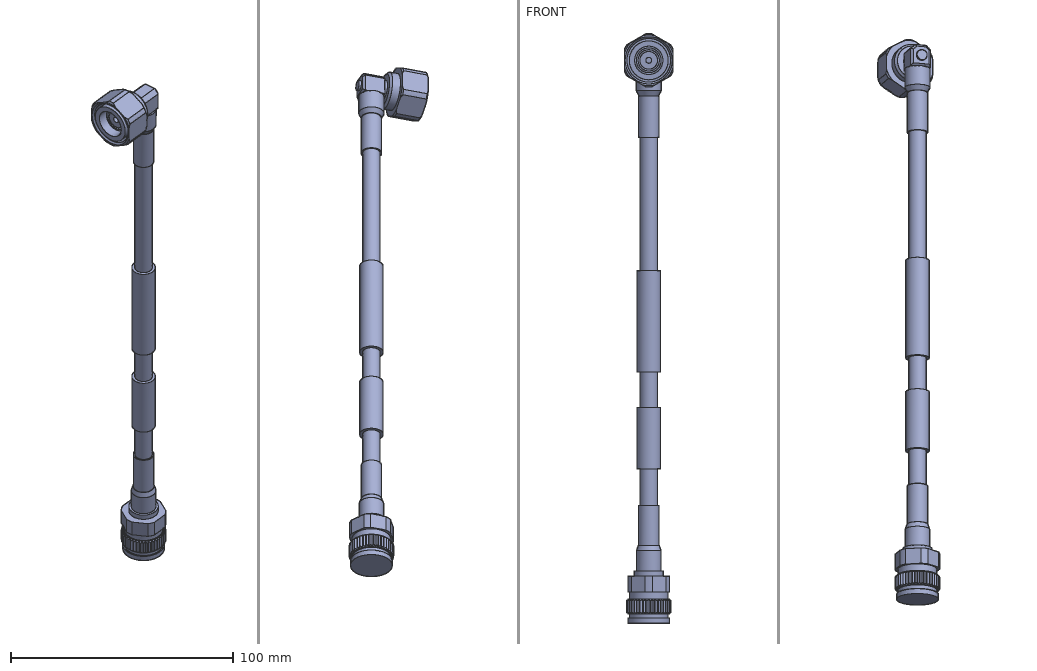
import cadquery as cq
import math

overall_height = 265.3

cable_diameter = 8.0
boot_diameter = 9.3
lower_boot_bottom = 35.0
lower_boot_top = 53.0
upper_boot_bottom = 218.5
upper_boot_top = 237.2

sleeve_diameter = 10.5
sleeve_spans = [(69.5, 97.0), (113.0, 158.7)]

nut_flats = 22.0
nut_corner_diameter = 24.1
nut_front_y = -23.3
nut_length = 12.5
nut_bore_diameter = 19.6
nut_mouth_chamfer = 0.8
nut_rim_chamfer = 0.66
collar_diameter = 17.0
collar_length = 4.8
collar_chamfer = 1.0

elbow_axis_z = overall_height - nut_corner_diameter / 2
ferrule_diameter = 11.5
ferrule_height = 11.1
ferrule_chamfer = 1.3
ferrule_chamfer_height = 2.5
block_width = 9.5
block_back_y = 5.5
block_front_y = -4.8
block_height = 10.0
block_top_chamfer = 2.0
block_back_chamfer = 1.0
cap_diameter = 4.8
cap_height = 1.0
neck_diameter = 9.0
socket_floor_y = -15.0
retainer_thickness = 2.7
contact_recess = 4.0
socket_outer_diameter = 17.5
socket_inner_diameter = 12.7
spring_outer_diameter = 11.1
spring_inner_diameter = 9.5
post_diameter = 8.0
pin_hole_diameter = 2.7

hex_flats = 18.8
hex_corner_diameter = 20.2
hex_bottom = 14.0
hex_top = 21.2
groove_diameter = 17.5
rim_diameter = 18.8
rim_top = 2.5
knurl_diameter = 20.2
knurl_bottom = 4.2
knurl_top = 11.0
knurl_chamfer = 0.8
knurl_teeth = 40
knurl_groove_depth = 0.66
shoulder_diameter = 13.3
shoulder_top = 23.5
barrel_diameter = 11.1
barrel_chamfer = 0.8
barrel_chamfer_height = 2.5


def rod(diameter, bottom, top):
    """Round bar along Z between two heights."""
    return cq.Workplane("XY").workplane(offset=bottom).circle(diameter / 2).extrude(top - bottom)


def cross_rod(diameter, front, back):
    """Round bar along Y on the elbow axis, between two Y positions."""
    plane = cq.Workplane("XZ", origin=(0, back, elbow_axis_z))
    return plane.circle(diameter / 2).extrude(back - front)


def cross_tube(outer_diameter, inner_diameter, front, back):
    """Tube along Y on the elbow axis, between two Y positions."""
    return cross_rod(outer_diameter, front, back).cut(cross_rod(inner_diameter, front, back))


def turned_hex(plane, flats, corner_diameter, length):
    """Hexagonal prism with flats at +X and -X and its six corners turned round."""
    sharp_diameter = flats / math.cos(math.pi / 6)
    hexagon = plane.transformed(rotate=(0, 0, 30)).polygon(6, sharp_diameter).extrude(length)
    return hexagon.intersect(plane.circle(corner_diameter / 2).extrude(length))


def make_cable():
    cable = rod(cable_diameter, lower_boot_bottom, upper_boot_top)
    lower_boot = rod(boot_diameter, lower_boot_bottom, lower_boot_top)
    upper_boot = rod(boot_diameter, upper_boot_bottom, upper_boot_top)
    return cable.union(lower_boot).union(upper_boot)


def make_sleeve(bottom, top):
    return rod(sleeve_diameter, bottom, top).cut(rod(cable_diameter, bottom, top))


def make_elbow_block():
    """Ferrule on the cable end, carrying the square corner block with its rear cap."""
    block_bottom = upper_boot_top + ferrule_height
    block_depth = block_back_y - block_front_y
    ferrule = rod(ferrule_diameter, upper_boot_top, block_bottom)
    ferrule = ferrule.faces("<Z").chamfer(ferrule_chamfer_height, ferrule_chamfer)
    block = (
        cq.Workplane("XY", origin=(0, block_back_y - block_depth / 2, block_bottom))
        .rect(block_width, block_depth)
        .extrude(block_height)
    )
    block = block.edges("|Y and >Z").chamfer(block_top_chamfer)
    block = block.faces(">Y").chamfer(block_back_chamfer)
    cap = cross_rod(cap_diameter, block_back_y, block_back_y + cap_height)
    return ferrule.union(block).union(cap)


def make_elbow_socket():
    """Outer tube flush with the nut, around a recessed spring ring and bored centre post."""
    contact_front = nut_front_y + contact_recess
    outer_tube = cross_tube(
        socket_outer_diameter, socket_inner_diameter, nut_front_y, socket_floor_y
    )
    spring_ring = cross_tube(
        spring_outer_diameter, spring_inner_diameter, contact_front, socket_floor_y
    )
    post = cross_tube(post_diameter, pin_hole_diameter, contact_front, socket_floor_y)
    return outer_tube.union(spring_ring).union(post)


def make_elbow_body():
    neck = cross_rod(neck_diameter, socket_floor_y, block_front_y)
    retainer = cross_rod(nut_bore_diameter, socket_floor_y, socket_floor_y + retainer_thickness)
    return make_elbow_block().union(neck).union(retainer).union(make_elbow_socket())


def make_elbow_nut():
    """Hexagonal coupling nut with a round rear collar, held by the retainer disc."""
    hex_back = nut_front_y + nut_length
    collar_back = hex_back + collar_length
    plane = cq.Workplane("XZ", origin=(0, hex_back, elbow_axis_z))
    nut = turned_hex(plane, nut_flats, nut_corner_diameter, nut_length)
    turned_ends = cross_rod(nut_corner_diameter, nut_front_y, hex_back)
    turned_ends = turned_ends.edges().chamfer(nut_rim_chamfer)
    collar = cross_rod(collar_diameter, hex_back, collar_back).faces(">Y").chamfer(collar_chamfer)
    nut = nut.intersect(turned_ends).union(collar)
    nut = nut.cut(cross_rod(neck_diameter, nut_front_y, collar_back))
    nut = nut.cut(cross_rod(nut_bore_diameter, nut_front_y, socket_floor_y + retainer_thickness))
    bore_edge = cq.selectors.RadiusNthSelector(0)
    return nut.faces("<Y").edges("%CIRCLE").edges(bore_edge).chamfer(nut_mouth_chamfer)


def make_knurl():
    """Band with V grooves running along Z, evenly spaced around it."""
    band = rod(knurl_diameter, knurl_bottom, knurl_top).edges().chamfer(knurl_chamfer)
    root_radius = knurl_diameter / 2 - knurl_groove_depth
    mouth_radius = knurl_diameter / 2 + knurl_groove_depth
    tooth_pitch = math.pi * knurl_diameter / knurl_teeth
    groove = (
        cq.Workplane("XY")
        .workplane(offset=knurl_bottom)
        .polyline([(root_radius, 0), (mouth_radius, tooth_pitch), (mouth_radius, -tooth_pitch)])
        .close()
        .extrude(knurl_top - knurl_bottom)
    )
    for index in range(knurl_teeth):
        band = band.cut(groove.rotate((0, 0, 0), (0, 0, 1), index * 360 / knurl_teeth))
    return band


def make_straight_connector():
    core = rod(groove_diameter, 0, hex_bottom)
    rim = rod(rim_diameter, 0, rim_top)
    hex_plane = cq.Workplane("XY").workplane(offset=hex_bottom)
    hexagon = turned_hex(hex_plane, hex_flats, hex_corner_diameter, hex_top - hex_bottom)
    shoulder = rod(shoulder_diameter, hex_top, shoulder_top)
    barrel = rod(barrel_diameter, shoulder_top, lower_boot_bottom)
    barrel = barrel.faces(">Z").chamfer(barrel_chamfer_height, barrel_chamfer)
    connector = core.union(rim).union(make_knurl())
    return connector.union(hexagon).union(shoulder).union(barrel)


cable = make_cable()
sleeves = [make_sleeve(bottom, top) for bottom, top in sleeve_spans]
elbow_body = make_elbow_body()
elbow_nut = make_elbow_nut()
straight_connector = make_straight_connector()

result = cq.Compound.makeCompound(
    [
        cable.val(),
        *[sleeve.val() for sleeve in sleeves],
        elbow_body.val(),
        elbow_nut.val(),
        straight_connector.val(),
    ]
)